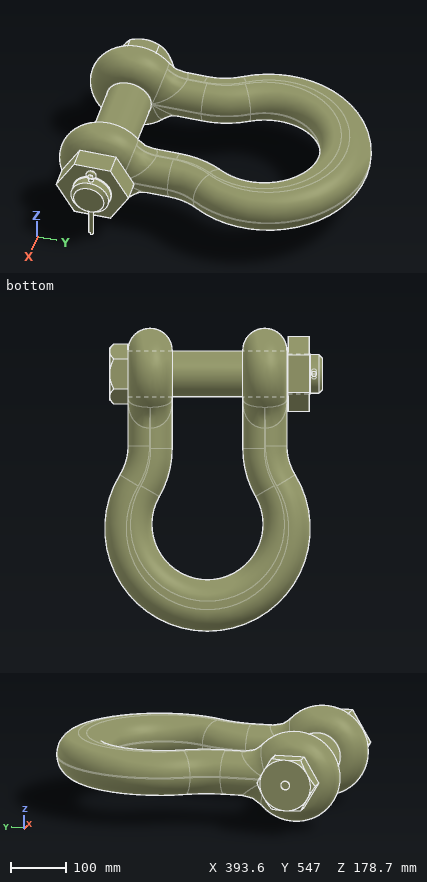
import cadquery as cq
import math


BAR_DIAMETER = 80.0
BAR_RADIUS = BAR_DIAMETER / 2
BAR_CORNER = 39.0
JAW_WIDTH = 127.0
LEG_X = (JAW_WIDTH + BAR_DIAMETER) / 2
EYE_RADIUS = 82.5
NECK_FILLET = 51.5

CORNER_INSET = BAR_RADIUS - BAR_CORNER
INNER_BEND_ANGLE = math.radians(30)
INNER_BOW_RADIUS = 139.0
INNER_BOW_Y = 271.2
OUTER_BEND_ANGLE = math.radians(31.5)
OUTER_BOW_RADIUS = 146.6
OUTER_BOW_Y = 278.9

SHANK_DIAMETER = 83.0
HEAD_FLATS = 94.0
HEAD_THICKNESS = 33.0
HEAD_MARK_DIAMETER = 16.0
HEAD_MARK_DEPTH = 1.0
SHOULDER_DIAMETER = 79.0
THREAD_DIAMETER = 72.0
TIP_DIAMETER = 70.6
TIP_CHAMFER = 7.0
BOLT_END_X = 207.97
THREAD_END_X = 186.0

NUT_FLATS = 117.5
NUT_THICKNESS = 38.2
NUT_GAP = 2.0

COTTER_X = 192.2
COTTER_DIAMETER = 9.0
LONG_LEG_END_Z = -96.18
SHORT_LEG_END_Z = -92.2
LOOP_INNER_RADIUS = 4.7
LOOP_TOP_Z = 57.3

LOOP_CENTRE_Z = LOOP_TOP_Z - LOOP_INNER_RADIUS - COTTER_DIAMETER / 2
LOOP_BOTTOM_Z = LOOP_CENTRE_Z - LOOP_INNER_RADIUS
EYE_FACE_X = LEG_X + BAR_RADIUS
NUT_FACE_X = EYE_FACE_X + NUT_GAP
NUT_END_X = NUT_FACE_X + NUT_THICKNESS
HEX_CORNER = 1 / math.cos(math.pi / 6)


def x_cylinder(start_x, end_x, diameter):
    """Round bar along the bolt axis."""
    return cq.Workplane("YZ", origin=(start_x, 0, 0)).circle(diameter / 2).extrude(end_x - start_x)


def x_hexagon(start_x, end_x, flats):
    """Hexagonal bar along the bolt axis with two flats facing up and down."""
    sketch = cq.Workplane("YZ", origin=(start_x, 0, 0)).polygon(6, flats * HEX_CORNER)
    return sketch.extrude(end_x - start_x)


def bow_path_points(radius, centre_y, leg_x, bend_angle):
    """Points on the left half of a centre line, from the leg's upper end to the crown's top."""
    cos_a = math.cos(bend_angle)
    sin_a = math.sin(bend_angle)
    bend_radius = (radius * cos_a - leg_x) / (1 - cos_a)
    leg_top_y = centre_y - (radius + bend_radius) * sin_a
    half = bend_angle / 2
    return {
        "leg_top": (-leg_x, leg_top_y),
        "bend_middle": (
            -leg_x - bend_radius * (1 - math.cos(half)),
            leg_top_y + bend_radius * math.sin(half),
        ),
        "bend_end": (-radius * cos_a, centre_y - radius * sin_a),
        "crown": (0, centre_y + radius),
    }


def mirrored(point):
    """The matching point on the right half."""
    return (-point[0], point[1])


def add_bow_curve(sketch, points):
    """Draws the bend, the crown and the opposite bend, from the left leg to the right leg."""
    return (
        sketch.threePointArc(points["bend_middle"], points["bend_end"])
        .threePointArc(points["crown"], mirrored(points["bend_end"]))
        .threePointArc(mirrored(points["bend_middle"]), mirrored(points["leg_top"]))
    )


INNER = bow_path_points(INNER_BOW_RADIUS, INNER_BOW_Y, LEG_X - CORNER_INSET, INNER_BEND_ANGLE)
OUTER = bow_path_points(OUTER_BOW_RADIUS, OUTER_BOW_Y, LEG_X + CORNER_INSET, OUTER_BEND_ANGLE)
RIM_RADIUS = EYE_RADIUS - BAR_RADIUS


def half_section(centre_x, y, side):
    """Half of the bar's section, rounded away from the jaw (side -1) or into it (side +1)."""
    diagonal = BAR_CORNER * math.sqrt(0.5)
    return (
        cq.Workplane("XZ", origin=(centre_x, y, 0))
        .moveTo(0, BAR_RADIUS)
        .threePointArc((side * diagonal, CORNER_INSET + diagonal), (side * BAR_CORNER, CORNER_INSET))
        .lineTo(side * BAR_CORNER, -CORNER_INSET)
        .threePointArc((side * diagonal, -CORNER_INSET - diagonal), (0, -BAR_RADIUS))
        .close()
    )


def half_bow(points, side):
    """Inner or outer half of the bar, running over the crown from one leg top to the other."""
    start = points["leg_top"]
    path = add_bow_curve(cq.Workplane("XY").moveTo(*start), points)
    return half_section(*start, side).sweep(path)


def flat_core():
    """Flat web that fills the crescent between the inner and outer centre lines."""
    outline = cq.Workplane("XY", origin=(0, 0, -BAR_RADIUS)).moveTo(*OUTER["leg_top"])
    outline = add_bow_curve(outline, OUTER).lineTo(*mirrored(INNER["leg_top"]))
    outline = outline.threePointArc(mirrored(INNER["bend_middle"]), mirrored(INNER["bend_end"]))
    outline = outline.threePointArc(INNER["crown"], INNER["bend_end"])
    outline = outline.threePointArc(INNER["bend_middle"], INNER["leg_top"]).close()
    return outline.extrude(BAR_DIAMETER)


def straight_leg():
    """Left leg, running from the eye's centre up to the bends."""
    inner_x, inner_top_y = INNER["leg_top"]
    outer_x, outer_top_y = OUTER["leg_top"]
    core = (
        cq.Workplane("XY", origin=(0, 0, -BAR_RADIUS))
        .moveTo(inner_x, 0)
        .lineTo(inner_x, inner_top_y)
        .lineTo(outer_x, outer_top_y)
        .lineTo(outer_x, 0)
        .close()
        .extrude(BAR_DIAMETER)
    )
    inner_half = half_section(inner_x, 0, 1).extrude(-inner_top_y)
    outer_half = half_section(outer_x, 0, -1).extrude(-outer_top_y)
    return core.union(inner_half).union(outer_half)


def upper_half_space():
    """Block above the bow's middle plane, large enough to hold an eye and its leg."""
    size = 4 * INNER["leg_top"][1]
    return cq.Workplane("XY").box(size, size, size, centered=(True, True, False))


def eye_and_leg():
    """Left eye with its leg, blended by a fillet; the bolt hole is not yet cut."""
    eye = (
        cq.Workplane("XY", origin=(-LEG_X, 0, 0))
        .moveTo(BAR_RADIUS, 0)
        .lineTo(BAR_RADIUS, RIM_RADIUS)
        .threePointArc((0, EYE_RADIUS), (-BAR_RADIUS, RIM_RADIUS))
        .lineTo(-BAR_RADIUS, 0)
        .close()
        .revolve(360, (0, 0, 0), (1, 0, 0))
    )
    whole = eye.union(straight_leg())
    above_middle = whole.intersect(upper_half_space())
    blended = above_middle.edges("%BSPLINE").fillet(NECK_FILLET)
    return blended.union(blended.mirror("XY"))


def build_bow():
    """One-piece bow with both eyes drilled for the bolt shank."""
    leg = eye_and_leg()
    bow = flat_core().union(half_bow(INNER, 1)).union(half_bow(OUTER, -1))
    bow = bow.union(leg).union(leg.mirror("YZ"))
    return bow.cut(x_cylinder(-EYE_FACE_X, EYE_FACE_X, SHANK_DIAMETER))


def chamfered_head():
    """Hexagonal head whose outer corners are turned off at 45 degrees, with a round mark in its face."""
    outer_x = -EYE_FACE_X - HEAD_THICKNESS
    head = x_hexagon(outer_x, -EYE_FACE_X, HEAD_FLATS)
    turned_depth = HEAD_FLATS / 2 * (HEX_CORNER - 1)
    envelope = x_cylinder(outer_x, -EYE_FACE_X, HEAD_FLATS * HEX_CORNER).faces("<X").chamfer(turned_depth)
    mark = x_cylinder(outer_x, outer_x + HEAD_MARK_DEPTH, HEAD_MARK_DIAMETER)
    return head.intersect(envelope).cut(mark)


def cotter_leg(end_z, side):
    """Half-round wire from the loop down to end_z, on the +Y (side 1) or -Y (side -1) half."""
    radius = COTTER_DIAMETER / 2
    section = cq.Workplane("XY", origin=(COTTER_X, 0, end_z)).moveTo(-radius, 0)
    section = section.threePointArc((0, side * radius), (radius, 0)).close()
    return section.extrude(LOOP_BOTTOM_Z - end_z)


def cotter_loop():
    """Ring of half-round wire, flat on its inside, standing above the bolt tip."""
    radius = COTTER_DIAMETER / 2
    section = (
        cq.Workplane("XZ", origin=(COTTER_X, 0, LOOP_CENTRE_Z))
        .moveTo(-radius, LOOP_INNER_RADIUS)
        .threePointArc((0, LOOP_INNER_RADIUS + radius), (radius, LOOP_INNER_RADIUS))
        .close()
    )
    return section.revolve(360, (0, 0, 0), (1, 0, 0))


def build_bolt():
    """Headed bolt; the cotter through its tip is one piece with it."""
    shank = x_cylinder(-EYE_FACE_X, EYE_FACE_X, SHANK_DIAMETER)
    shoulder = x_cylinder(EYE_FACE_X, NUT_FACE_X, SHOULDER_DIAMETER)
    thread = x_cylinder(NUT_FACE_X, THREAD_END_X, THREAD_DIAMETER)
    tip = x_cylinder(THREAD_END_X, BOLT_END_X, TIP_DIAMETER).faces(">X").chamfer(TIP_CHAMFER)
    bolt = chamfered_head().union(shank).union(shoulder).union(thread).union(tip)
    for end_z, side in ((LONG_LEG_END_Z, 1), (SHORT_LEG_END_Z, -1)):
        bolt = bolt.union(cotter_leg(end_z, side))
    return bolt.union(cotter_loop())


def build_nut():
    """Plain hexagonal nut that fits around the thread."""
    nut = x_hexagon(NUT_FACE_X, NUT_END_X, NUT_FLATS)
    return nut.cut(x_cylinder(NUT_FACE_X, NUT_END_X, THREAD_DIAMETER))


bow = build_bow()
bolt = build_bolt()
nut = build_nut()

result = cq.Compound.makeCompound([bow.val(), bolt.val(), nut.val()])